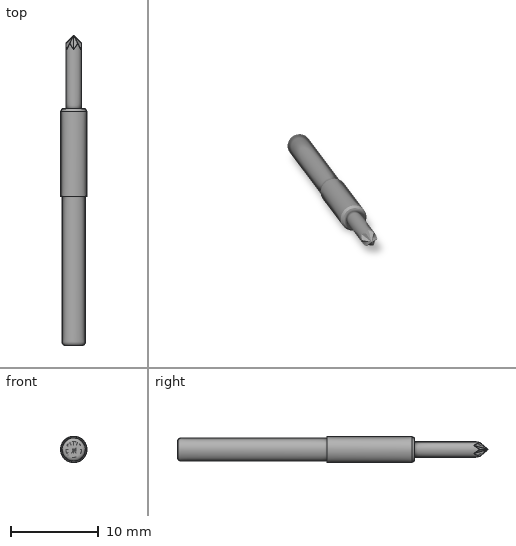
import cadquery as cq
import math

total_length = 35.3

barrel_diameter = 2.65
barrel_length = 16.98
barrel_end_round = 0.42

collar_diameter = 3.0
collar_length = 10.0
collar_chamfer_radial = 0.2
collar_chamfer_axial = 0.32

plunger_diameter = 1.8
plunger_radius = plunger_diameter / 2
plunger_length = total_length - barrel_length - collar_length

ridge_count = 6
ridge_half_angle = 45.0
valley_run_out = 1.6
tip_length = 1.75


def rod(diameter, start, length):
    """Cylinder along +Y, beginning at Y = start."""
    return cq.Workplane("XZ", origin=(0, start, 0)).circle(diameter / 2).extrude(-length)


def make_barrel():
    return rod(barrel_diameter, 0, barrel_length).faces("<Y").edges().fillet(barrel_end_round)


def make_collar():
    """Collar with its front rim chamfered."""
    radius = collar_diameter / 2
    front = barrel_length + collar_length
    profile = (
        cq.Workplane("XY")
        .moveTo(0, barrel_length)
        .lineTo(radius, barrel_length)
        .lineTo(radius, front - collar_chamfer_axial)
        .lineTo(radius - collar_chamfer_radial, front)
        .lineTo(0, front)
        .close()
    )
    return profile.revolve(360, (0, 0, 0), (0, 1, 0))


def make_star_pyramid():
    """Star-based pyramid with its apex at the tip; ridges start on the X axis."""
    apex = cq.Vector(0, total_length, 0)
    base_y = total_length - tip_length
    ridge_radius = tip_length * math.tan(math.radians(ridge_half_angle))
    valley_radius = tip_length * plunger_radius / valley_run_out

    corners = []
    for i in range(2 * ridge_count):
        angle = math.pi * i / ridge_count
        radius = ridge_radius if i % 2 == 0 else valley_radius
        corners.append(cq.Vector(radius * math.cos(angle), base_y, radius * math.sin(angle)))

    faces = [cq.Face.makeFromWires(cq.Wire.makePolygon(corners, close=True))]
    for i, corner in enumerate(corners):
        triangle = [corners[i - 1], corner, apex]
        faces.append(cq.Face.makeFromWires(cq.Wire.makePolygon(triangle, close=True)))
    return cq.Workplane(cq.Solid.makeSolid(cq.Shell.makeShell(faces)))


def make_plunger():
    """Round plunger whose last stretch is trimmed to the star pyramid."""
    stem_start = barrel_length + collar_length
    stem = rod(plunger_diameter, stem_start, plunger_length - tip_length)
    tip = rod(plunger_diameter, total_length - tip_length, tip_length).intersect(make_star_pyramid())
    return stem.union(tip)


result = make_barrel().union(make_collar()).union(make_plunger())